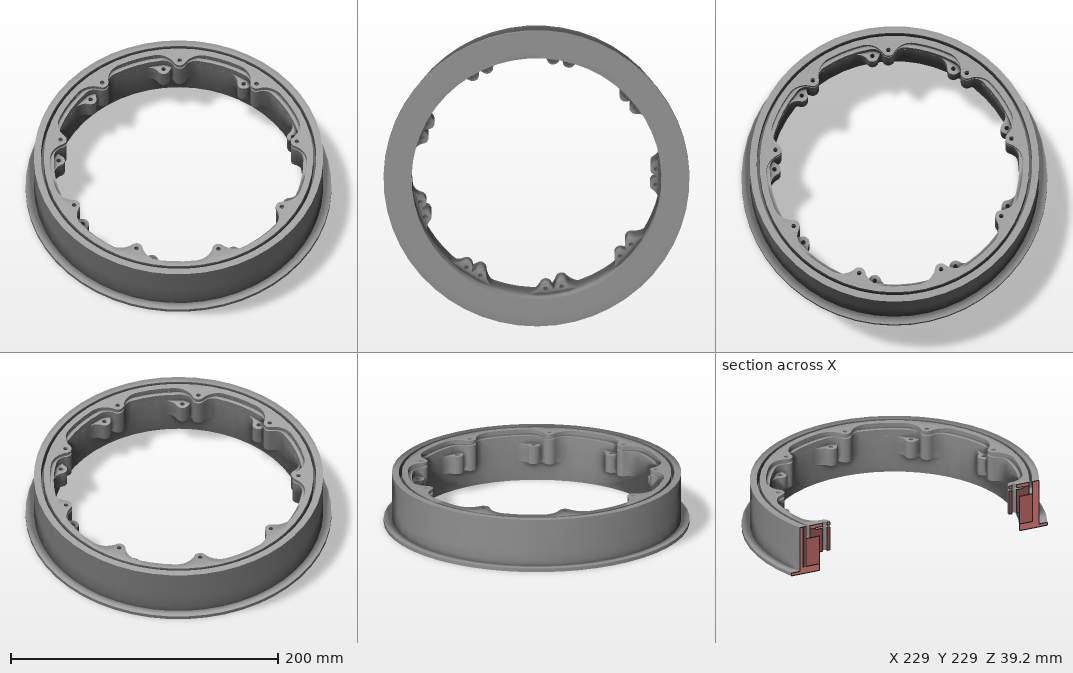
import cadquery as cq
import math

FLANGE_DIA = 229.0
FLANGE_THICKNESS = 2.7
TUBE_DIA = 216.5
TUBE_BORE_DIA = 206.0
TOP_Z = 39.2
LIP_BORE_DIA = 186.8
LIP_TOP_Z = 6.0

KEY_PAIRS = 19
KEY_PAIR_SPREAD = 7.3
KEY_PAIR_START = -90.0
KEY_WIDTH = 2.0
KEY_DEPTH = 2.5

LOWER_RING_DIA = TUBE_BORE_DIA
UPPER_RING_DIA = 201.7
INNER_BORE_DIA = LIP_BORE_DIA
TOP_RING_BORE_DIA = 192.5
LOWER_RING_TOP_Z = 29.0
MIDDLE_LEDGE_Z = 35.0
TOP_RING_BOTTOM_Z = 36.2

LUG_COUNT = 9
LUG_PITCH = 360.0 / LUG_COUNT
LUG_CENTRE_RADIUS = 89.7
LUG_HOLE_DIA = 3.5
LUG_BOTTOM_Z = 15.3
LUG_TIP_RADIUS = 4.5
LUG_FLANK_RADIUS = 9.0
TOP_LUG_FLANK_RADIUS = 14.9
UPPER_LUG_ANGLE = 0.0
LOWER_LUG_ANGLE = 7.7


def polar(radius, angle):
    """Point at a radius and an angle in degrees from +X."""
    return (radius * math.cos(math.radians(angle)), radius * math.sin(math.radians(angle)))


def disc(diameter, bottom, top):
    return cq.Workplane("XY").workplane(offset=bottom).circle(diameter / 2).extrude(top - bottom)


def tube(outer_dia, bore_dia, bottom, top):
    return disc(outer_dia, bottom, top).cut(disc(bore_dia, bottom, top))


def lugged_opening(bore_dia, flank_radius, first_angle, bottom, top):
    """Solid that fills a bore except for its lugs: round tips that flow into the bore along flank arcs."""
    bore_radius = bore_dia / 2
    flank_centre_radius = bore_radius - flank_radius
    reach = LUG_TIP_RADIUS + flank_radius
    flank_turn = math.degrees(math.acos(
        (flank_centre_radius**2 + LUG_CENTRE_RADIUS**2 - reach**2)
        / (2 * flank_centre_radius * LUG_CENTRE_RADIUS)
    ))

    def on_circle(centre, radius, toward):
        """Point of a circle on the side that faces another point."""
        dx = toward[0] - centre[0]
        dy = toward[1] - centre[1]
        length = math.hypot(dx, dy)
        return (centre[0] + radius * dx / length, centre[1] + radius * dy / length)

    def flank(lug_angle, side):
        """Bore end, middle and lug end of one flank arc."""
        lug_centre = polar(LUG_CENTRE_RADIUS, lug_angle)
        angle = lug_angle + side * flank_turn
        centre = polar(flank_centre_radius, angle)
        bore_end = polar(bore_radius, angle)
        lug_end = on_circle(centre, flank_radius, lug_centre)
        chord_middle = ((bore_end[0] + lug_end[0]) / 2, (bore_end[1] + lug_end[1]) / 2)
        return bore_end, on_circle(centre, flank_radius, chord_middle), lug_end

    angles = [first_angle + i * LUG_PITCH for i in range(LUG_COUNT)]
    outline = cq.Workplane("XY").workplane(offset=bottom).moveTo(*flank(angles[0], -1)[0])
    for angle in angles:
        _, entry_middle, entry_end = flank(angle, -1)
        exit_end, exit_middle, exit_start = flank(angle, 1)
        next_start = flank(angle + LUG_PITCH, -1)[0]
        outline = (
            outline.threePointArc(entry_middle, entry_end)
            .threePointArc(polar(LUG_CENTRE_RADIUS - LUG_TIP_RADIUS, angle), exit_start)
            .threePointArc(exit_middle, exit_end)
            .threePointArc(polar(bore_radius, angle + LUG_PITCH / 2), next_start)
        )
    return outline.close().extrude(top - bottom)


def lug_holes(first_angle):
    """Through holes, one in each lug of a ring."""
    return (
        cq.Workplane("XY")
        .polarArray(LUG_CENTRE_RADIUS, first_angle, 360, LUG_COUNT)
        .circle(LUG_HOLE_DIA / 2)
        .extrude(TOP_Z)
    )


def inner_lugs(first_angle, top):
    """Bare lugs that stand on the inner bore, from the common lug bottom up."""
    opening = lugged_opening(
        INNER_BORE_DIA, LUG_FLANK_RADIUS, first_angle, LUG_BOTTOM_Z, top
    )
    return disc(INNER_BORE_DIA, LUG_BOTTOM_Z, top).cut(opening)


def keys():
    """Straight posts let into the tube wall, flush with its bore and its top face."""
    posts = cq.Workplane("XY")
    tube_bore_radius = TUBE_BORE_DIA / 2
    for i in range(KEY_PAIRS):
        for side in (-1, 1):
            angle = KEY_PAIR_START + i * 360 / KEY_PAIRS + side * KEY_PAIR_SPREAD / 2
            post = (
                cq.Workplane("XY")
                .workplane(offset=LIP_TOP_Z)
                .center(tube_bore_radius, 0)
                .rect(2 * KEY_DEPTH, KEY_WIDTH)
                .extrude(TOP_Z - LIP_TOP_Z)
                .rotate((0, 0, 0), (0, 0, 1), angle)
            )
            posts = posts.add(post)
    return posts.combine().cut(disc(TUBE_BORE_DIA, LIP_TOP_Z, TOP_Z))


def make_housing():
    """Flanged tube with a lip at its foot and slots for the keys."""
    body = disc(FLANGE_DIA, 0, FLANGE_THICKNESS).union(disc(TUBE_DIA, 0, TOP_Z))
    body = body.cut(disc(TUBE_BORE_DIA, LIP_TOP_Z, TOP_Z)).cut(disc(LIP_BORE_DIA, 0, LIP_TOP_Z))
    return body.cut(keys())


def make_lower_ring():
    """Ring on the housing lip with keys and short lugs, recessed where the hanging lugs pass."""
    ring = tube(LOWER_RING_DIA, INNER_BORE_DIA, LIP_TOP_Z, LOWER_RING_TOP_Z)
    short_lugs = inner_lugs(LOWER_LUG_ANGLE, LOWER_RING_TOP_Z)
    hanging_lugs = inner_lugs(UPPER_LUG_ANGLE, LOWER_RING_TOP_Z)
    ring = ring.union(short_lugs.cut(hanging_lugs)).cut(lug_holes(LOWER_LUG_ANGLE))
    return ring.union(keys())


def make_middle_ring():
    """Thin ring with an inner ledge, whose long lugs hang down inside the lower ring."""
    ring = tube(UPPER_RING_DIA, INNER_BORE_DIA, LOWER_RING_TOP_Z, TOP_RING_BOTTOM_Z)
    ring = ring.cut(disc(TOP_RING_BORE_DIA, MIDDLE_LEDGE_Z, TOP_RING_BOTTOM_Z))
    return ring.union(inner_lugs(UPPER_LUG_ANGLE, MIDDLE_LEDGE_Z)).cut(lug_holes(UPPER_LUG_ANGLE))


def make_top_ring():
    """Cover ring with the wider bore, its lugs just above the long lugs of the middle ring."""
    opening = lugged_opening(
        TOP_RING_BORE_DIA, TOP_LUG_FLANK_RADIUS, UPPER_LUG_ANGLE, TOP_RING_BOTTOM_Z, TOP_Z
    )
    return disc(UPPER_RING_DIA, TOP_RING_BOTTOM_Z, TOP_Z).cut(opening).cut(lug_holes(UPPER_LUG_ANGLE))


housing = make_housing()
lower_ring = make_lower_ring()
middle_ring = make_middle_ring()
top_ring = make_top_ring()

result = cq.Compound.makeCompound(
    [housing.val(), lower_ring.val(), middle_ring.val(), top_ring.val()]
)